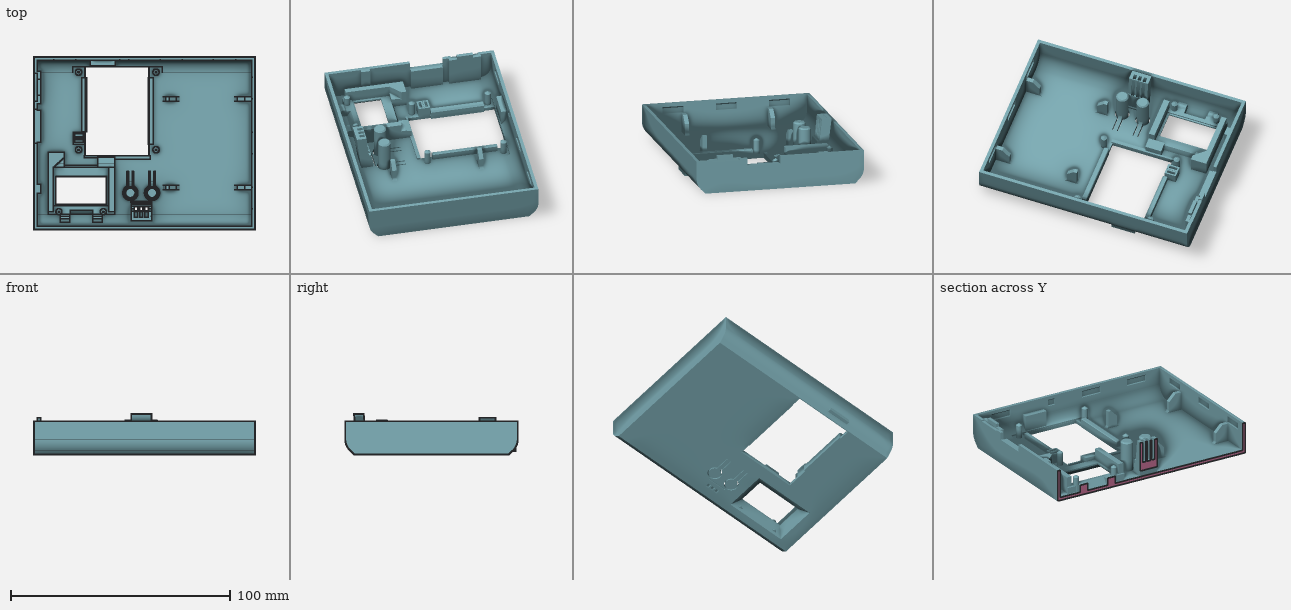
import cadquery as cq
import math

LENGTH = 100.8
WIDTH = 78.7
TRAY_HEIGHT = 15.3
TOTAL_HEIGHT = 18.7
WALL = 1.5
FLOOR = 1.6
OUTER_RADIUS = 7.1
INNER_RADIUS = OUTER_RADIUS - FLOOR
INNER_X = LENGTH - WALL
INNER_Y = WIDTH - WALL

ROOT = FLOOR / 2
OVERLAP = 0.5

PIN_TIP_HEIGHT = 0.8
PIN_TIP_RADIUS = 0.3

WINDOW_X = (23.4, 52.4)
WINDOW_Y = (33.8, 74.2)
PAD_X = (17.7, 58.6)
PAD_TOP_Y = 74.3
RAIL_TOP = 4.3

PLATE_TOP = 4.0
BEZEL_TOP = 9.5
BEZEL_X = (6.5, 36.8)
PLATE_X = (8.9, 34.1)
PLATE_Y = (10.8, 28.3)
BEZEL_FRONT_Y = 8.1
SHELF_BACK_Y = 33.0

BUTTON_CENTERS_X = (44.0, 53.8)
BUTTON_Y = 16.7
BUTTON_DIAMETER = 5.6
BUTTON_TOP = 15.6

HOLDER_X = (44.4, 53.6)
SWITCH_COUNT = 3
SWITCH_PITCH = 2.4
SWITCH_WIDTH = 1.5
FIRST_SWITCH_X = 45.8


def box(x, y, z):
    """Axis-aligned block between the (low, high) limits on each axis."""
    size = (x[1] - x[0], y[1] - y[0], z[1] - z[0])
    return cq.Workplane("XY").box(*size, centered=False).translate((x[0], y[0], z[0]))


def prism_along_x(points, x):
    """Extrude a closed (y, z) outline between two x limits."""
    return cq.Workplane("YZ").workplane(offset=x[0]).polyline(points).close().extrude(x[1] - x[0])


def prism_along_y(points, y):
    """Extrude a closed (x, z) outline between two y limits."""
    return cq.Workplane("XZ", origin=(0, y[0], 0)).polyline(points).close().extrude(y[0] - y[1])


def prism_up(points, z):
    """Extrude a closed (x, y) outline between two z limits."""
    return cq.Workplane("XY").workplane(offset=z[0]).polyline(points).close().extrude(z[1] - z[0])


def pin(x, y, diameter, top):
    """Round pin rooted in the floor, with a blunt conical tip."""
    shoulder = top - PIN_TIP_HEIGHT
    profile = [
        (0, ROOT),
        (diameter / 2, ROOT),
        (diameter / 2, shoulder),
        (PIN_TIP_RADIUS, top),
        (0, top),
    ]
    solid = cq.Workplane("XZ").polyline(profile).close().revolve(360, (0, 0, 0), (0, 1, 0))
    return solid.translate((x, y, 0))


def tray_shell():
    """Open tray: each long lower edge is an arc that leaves at 45 degrees as a flat bevel."""
    r = OUTER_RADIUS
    arc_end = r * (1 - math.sqrt(0.5))
    arc_mid_y = r * (1 - math.cos(math.pi / 8))
    arc_mid_z = r * (1 - math.sin(math.pi / 8))
    bevel_end = 2 * arc_end
    outer = (
        cq.Workplane("YZ")
        .moveTo(0, TRAY_HEIGHT)
        .lineTo(0, r)
        .threePointArc((arc_mid_y, arc_mid_z), (arc_end, arc_end))
        .lineTo(bevel_end, 0)
        .lineTo(WIDTH - bevel_end, 0)
        .lineTo(WIDTH - arc_end, arc_end)
        .threePointArc((WIDTH - arc_mid_y, arc_mid_z), (WIDTH, r))
        .lineTo(WIDTH, TRAY_HEIGHT)
        .close()
        .extrude(LENGTH)
    )
    cavity = box((WALL, INNER_X), (WALL, INNER_Y), (FLOOR, TRAY_HEIGHT + OVERLAP))
    cavity = cavity.edges("|X and <Z").fillet(INNER_RADIUS)
    return outer.cut(cavity)


def add_snap_slots(body):
    """Blind slots for the lid catches in the back and right walls; their roofs slope inward."""
    depth = 1.0
    bottom, roof_inner, roof_outer = 10.5, 12.9, 13.7

    def outline(face):
        """Section of a slot cut outward from a wall face."""
        back = face + depth
        return [(face, bottom), (back, bottom), (back, roof_inner), (face, roof_outer)]

    for x in ((9.1, 19.2), (39.2, 43.2), (57.6, 67.7), (81.9, 91.9)):
        body = body.cut(prism_along_x(outline(INNER_Y), x))
    for y in ((9.6, 19.4), (34.6, 44.4), (59.6, 69.4)):
        body = body.cut(prism_along_y(outline(INNER_X), y))
    return body


def add_left_wall(body):
    """Cable notch, thickened wall stretches and the locating peg of the left wall."""
    thick_x = (WALL - OVERLAP, 3.1)
    notch_z = 11.8
    notch_y = (39.4, 54.8)
    recess_z = 14.7
    peg_top = 16.9
    for y, top in (((16.5, 20.7), TRAY_HEIGHT), ((39.7, 54.4), notch_z), ((57.5, 72.3), TRAY_HEIGHT)):
        body = body.union(box(thick_x, y, (ROOT, top)))
    body = body.cut(box((0, WALL), notch_y, (notch_z, TRAY_HEIGHT)))
    body = body.cut(box((0, WALL), (58.6, 71.3), (recess_z, TRAY_HEIGHT)))
    return body.union(box((WALL, 3.1), (61.2, 68.6), (recess_z, peg_top)))


def add_main_window(body):
    """Window, flat pad, side rails, front rib, end stop, corner pins and terminal clips."""
    rib_top = 2.4
    bezel_rib_y = 32.9
    pad_start_y = 60.5
    stop_front_y = 74.6
    stop_top = 9.7
    body = body.cut(box(PAD_X, (pad_start_y, PAD_TOP_Y), (FLOOR, OUTER_RADIUS)))
    body = body.union(box((BEZEL_X[1], 52.9), (32.2, WINDOW_Y[0]), (ROOT, rib_top)))
    body = body.union(box((23.0, BEZEL_X[1]), (bezel_rib_y, WINDOW_Y[0]), (ROOT, rib_top)))
    body = body.cut(box(WINDOW_X, WINDOW_Y, (0, FLOOR + OVERLAP)))

    left_rail = box((21.8, 24.1), (44.7, 69.3), (0, RAIL_TOP)).edges(">X and >Z").chamfer(0.7)
    right_rail = box((52.2, 54.4), (39.0, 69.3), (0, RAIL_TOP)).edges("<X and >Z").chamfer(0.3)
    end_stop = box((25.7, 37.0), (stop_front_y, INNER_Y + OVERLAP), (FLOOR, stop_top))
    body = body.union(left_rail).union(right_rail).union(end_stop)

    corner_pin_diameter = 2.8
    corner_pin_top = 8.6
    for x in (20.4, 55.7):
        for y in (36.4, 71.8):
            body = body.union(pin(x, y, corner_pin_diameter, corner_pin_top))

    clip_width = 2.6
    clip_top = 6.3
    for y in (39.0, 41.7):
        clip = box((17.9, WINDOW_X[0]), (y, y + clip_width), (ROOT, clip_top))
        socket = box((18.7, 22.5), (y + 0.7, y + 1.9), (RAIL_TOP, clip_top))
        body = body.union(clip.cut(socket))
    return body


def add_display_bezel(body):
    """Raised display plate framed by tall walls, with a window that flares toward the outside."""
    shelf_top = 5.8
    shelf_edge = 5.3
    ledge_top = 4.6
    ledge_front_y = 7.0
    plate_back_y = 29.3
    rest_top = 5.2
    relief_back_y = 8.9
    wall_z = (ROOT, BEZEL_TOP)
    corner_x = 13.9
    left_back_y = 35.2

    plate = prism_along_x(
        [
            (PLATE_Y[0], ROOT),
            (PLATE_Y[0], PLATE_TOP),
            (PLATE_Y[1], PLATE_TOP),
            (plate_back_y, FLOOR),
            (plate_back_y, ROOT),
        ],
        PLATE_X,
    )
    ledge = box(BEZEL_X, (ledge_front_y, PLATE_Y[0]), (ROOT, ledge_top))
    relief_outline = [(ledge_front_y, FLOOR), (relief_back_y, ledge_top), (ledge_front_y, ledge_top)]
    cable_relief = prism_along_x(relief_outline, (16.5, 26.8))

    left_wall = prism_up(
        [
            (BEZEL_X[0], BEZEL_FRONT_Y),
            (BEZEL_X[0], left_back_y),
            (corner_x, left_back_y),
            (corner_x, SHELF_BACK_Y),
            (PLATE_X[0], PLATE_Y[1]),
            (PLATE_X[0], BEZEL_FRONT_Y),
        ],
        wall_z,
    )
    right_wall = box((PLATE_X[1], BEZEL_X[1]), (BEZEL_FRONT_Y, PLATE_Y[1]), wall_z)
    shelf_outline = [
        (PLATE_Y[1], ROOT),
        (PLATE_Y[1], shelf_top),
        (30.2, shelf_top),
        (SHELF_BACK_Y, shelf_edge),
        (SHELF_BACK_Y, ROOT),
    ]
    for part in (plate, ledge.cut(cable_relief), left_wall, right_wall):
        body = body.union(part)
    for x in ((PLATE_X[0], corner_x), (29.1, BEZEL_X[1])):
        body = body.union(prism_along_x(shelf_outline, x))

    window_x = (10.0, 33.1)
    window_y = (11.5, 24.2)
    flare = 3.6
    flare_top = 3.3
    center = (sum(window_x) / 2, sum(window_y) / 2)
    width = window_x[1] - window_x[0]
    height = window_y[1] - window_y[0]
    flared_opening = (
        cq.Workplane("XY")
        .center(*center)
        .rect(width + 2 * flare, height + 2 * flare)
        .workplane(offset=flare_top)
        .rect(width, height)
        .loft(ruled=True)
    )
    body = body.cut(box(window_x, window_y, (0, PLATE_TOP + OVERLAP))).cut(flared_opening)

    display_pin_diameter = 2.7
    display_pin_y = 8.2
    for x in (11.4, 31.7):
        body = body.union(pin(x, display_pin_y, display_pin_diameter, BEZEL_TOP))

    rest_outline = [
        (3.4, 2.6),
        (3.4, 4.3),
        (5.0, rest_top),
        (6.2, rest_top),
        (ledge_front_y, ledge_top),
        (ledge_front_y, ROOT),
    ]
    for x in ((11.9, 16.2), (26.8, 31.2)):
        body = body.union(prism_along_x(rest_outline, x))
    return body


def add_buttons(body):
    """Tall buttons, each freed by a ring gap and two slits so that it hangs on a tongue."""
    gap_diameter = 6.7
    tongue_width = 1.8
    slit_width = 0.5
    slit_end_y = 26.5
    rim_chamfer = 0.6
    ramp_start_y = 22.1
    ramp_radius = 2.6
    button_edge_y = BUTTON_Y + BUTTON_DIAMETER / 2
    for x in BUTTON_CENTERS_X:
        tongue_x = (x - tongue_width / 2, x + tongue_width / 2)
        gap = cq.Workplane("XY").center(x, BUTTON_Y).circle(gap_diameter / 2).extrude(FLOOR)
        slits = box((tongue_x[0] - slit_width, tongue_x[1] + slit_width), (BUTTON_Y, slit_end_y), (0, FLOOR))
        tongue = box(tongue_x, (BUTTON_Y, slit_end_y), (0, FLOOR))
        button = cq.Workplane("XY").center(x, BUTTON_Y).circle(BUTTON_DIAMETER / 2).extrude(BUTTON_TOP)
        button = button.faces(">Z").chamfer(rim_chamfer)
        arc_offset = ramp_radius * (1 - math.sqrt(0.5))
        ramp = (
            cq.Workplane("YZ")
            .workplane(offset=tongue_x[0])
            .moveTo(ramp_start_y, FLOOR)
            .threePointArc(
                (ramp_start_y - ramp_radius + arc_offset, FLOOR + arc_offset),
                (ramp_start_y - ramp_radius, FLOOR + ramp_radius),
            )
            .lineTo(button_edge_y - 2 * OVERLAP, FLOOR + ramp_radius)
            .lineTo(button_edge_y - 2 * OVERLAP, FLOOR)
            .close()
            .extrude(tongue_width)
        )
        body = body.cut(gap).cut(slits)
        body = body.union(tongue).union(button).union(ramp)
    return body


def add_switch_holder(body):
    """Leaning switch tower with a low back, actuator openings and a slit in the floor behind."""
    back_top = 8.7
    back_foot_y = 11.6
    slot_y = (5.6, 8.1)
    opening_y = (8.5, 10.4)
    opening_top = TOTAL_HEIGHT - 1.0
    slit_y = (12.3, 12.8)
    outline = [
        (6.2, ROOT),
        (3.9, TOTAL_HEIGHT),
        (8.5, TOTAL_HEIGHT),
        (9.6, back_top - 0.2),
        (10.6, back_top),
        (back_foot_y, FLOOR),
        (back_foot_y, ROOT),
    ]
    body = body.union(prism_along_x(outline, HOLDER_X))
    for i in range(SWITCH_COUNT):
        start = FIRST_SWITCH_X + i * SWITCH_PITCH
        x = (start, start + SWITCH_WIDTH)
        body = body.cut(box(x, slot_y, (back_top, TOTAL_HEIGHT)))
        body = body.cut(box(x, opening_y, (0, opening_top)))
    return body.cut(box(HOLDER_X, slit_y, (0, FLOOR)))


def add_stands(body):
    """Two pairs of thin fins: free-standing on the left, backed by the wall on the right."""
    thickness = 2.0
    foot = 1.2
    shoulder = 6.9
    left_face, left_top_end, left_heel = 60.1, 61.7, 64.8
    right_face, right_top_start = 92.8, 96.2
    left_top = shoulder + left_heel - left_top_end
    right_top = shoulder + right_top_start - right_face
    arc_offset = foot * (1 - math.sqrt(0.5))

    def left_foot(profile, face_x):
        """Start an outline at the floor and run up the concave foot onto a left face."""
        return (
            profile.moveTo(face_x - foot, ROOT)
            .lineTo(face_x - foot, FLOOR)
            .threePointArc((face_x - arc_offset, FLOOR + arc_offset), (face_x, FLOOR + foot))
        )

    for y in (18.1, 58.6):
        plane = cq.Workplane("XZ", origin=(0, y, 0))
        free_fin = (
            left_foot(plane, left_face)
            .lineTo(left_face, left_top)
            .lineTo(left_top_end, left_top)
            .lineTo(left_heel, shoulder)
            .lineTo(left_heel, FLOOR + foot)
            .threePointArc((left_heel + arc_offset, FLOOR + arc_offset), (left_heel + foot, FLOOR))
            .lineTo(left_heel + foot, ROOT)
            .close()
            .extrude(-thickness)
        )
        wall_fin = (
            left_foot(plane, right_face)
            .lineTo(right_face, shoulder)
            .lineTo(right_top_start, right_top)
            .lineTo(INNER_X + OVERLAP, right_top)
            .lineTo(INNER_X + OVERLAP, ROOT)
            .close()
            .extrude(-thickness)
        )
        body = body.union(free_fin).union(wall_fin)
    return body


result = tray_shell()
result = add_snap_slots(result)
result = add_left_wall(result)
result = add_main_window(result)
result = add_display_bezel(result)
result = add_switch_holder(result)
result = add_buttons(result)
result = add_stands(result)